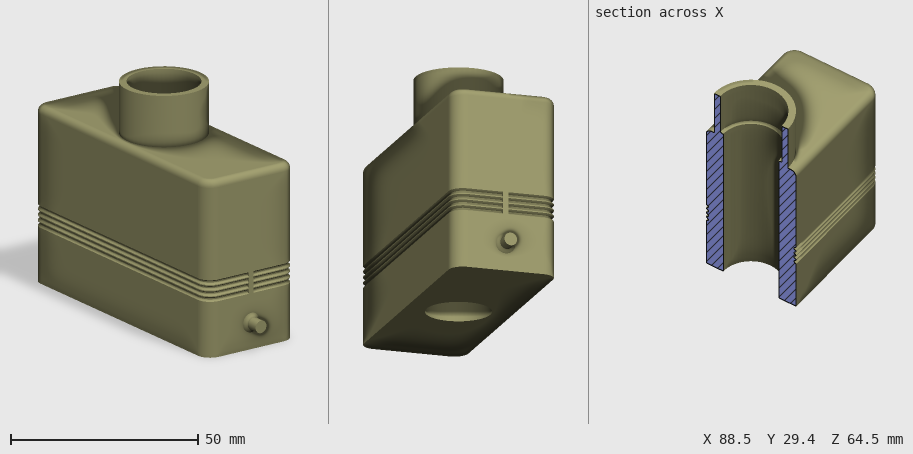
import cadquery as cq

total_length = 88.5
total_height = 64.5

body_length = 79.65
body_width = 29.4
body_height = 50.0
corner_radius = 4.0
top_edge_radius = 1.95

collar_diameter = 24.1
bore_diameter = 20.0
bore_depth = 13.45
bore_floor_slope_rise = 0.2
bore_floor_slope_width = 0.5
entry_hole_diameter = 18.0

groove_count = 4
groove_mouth = 1.3
groove_floor = 0.35
groove_depth = 0.7
groove_pitch = 1.6
lowest_groove_height = 16.5
groove_gap = 1.6

pin_diameter = 3.5
pin_axis_height = 7.5
pin_root_diameter = 5.5
pin_root_length = 0.9


def make_body():
    block = cq.Workplane("XY").box(body_length, body_width, body_height, centered=(True, True, False))
    return block.edges("|Z").fillet(corner_radius).faces(">Z").edges().fillet(top_edge_radius)


def make_collar():
    collar_height = total_height - body_height
    return cq.Workplane("XY").workplane(offset=body_height).circle(collar_diameter / 2).extrude(collar_height)


def make_stepped_bore():
    bore = (
        cq.Workplane("XY")
        .workplane(offset=total_height - bore_depth)
        .circle(bore_diameter / 2)
        .extrude(bore_depth)
        .faces("<Z")
        .edges()
        .chamfer(bore_floor_slope_rise, bore_floor_slope_width)
    )
    entry_hole = cq.Workplane("XY").circle(entry_hole_diameter / 2).extrude(total_height)
    return bore.union(entry_hole)


def make_groove(height):
    """Trapezoidal bar swept around the body's outline, left out across the end-face gaps."""
    path = (
        cq.Workplane("XY")
        .workplane(offset=height)
        .rect(body_length, body_width)
        .extrude(groove_mouth)
        .edges("|Z")
        .fillet(corner_radius)
        .faces("<Z")
        .wires()
    )
    bar = (
        cq.Workplane("YZ")
        .center(-body_width / 2, height)
        .moveTo(0, -groove_mouth / 2)
        .lineTo(groove_depth, -groove_floor / 2)
        .lineTo(groove_depth, groove_floor / 2)
        .lineTo(0, groove_mouth / 2)
        .close()
        .sweep(path)
    )
    gap_block = cq.Workplane("XY").box(2 * body_length, groove_gap, 2 * total_height)
    return bar.cut(gap_block)


def make_pin(side):
    """Pin on one end face: side is +1 for the +X end, -1 for the -X end."""
    face_x = body_length / 2
    tip_x = total_length / 2
    half_profile = (
        cq.Workplane("XY")
        .moveTo(face_x, 0)
        .lineTo(face_x, pin_root_diameter / 2)
        .lineTo(face_x + pin_root_length, pin_diameter / 2)
        .lineTo(tip_x, pin_diameter / 2)
        .lineTo(tip_x, 0)
        .close()
    )
    pin = half_profile.revolve(360, (0, 0, 0), (1, 0, 0)).translate((0, 0, pin_axis_height))
    return pin if side > 0 else pin.mirror("YZ")


result = make_body().union(make_collar()).cut(make_stepped_bore())

for index in range(groove_count):
    result = result.cut(make_groove(lowest_groove_height + index * groove_pitch))

for side in (-1, 1):
    result = result.union(make_pin(side))